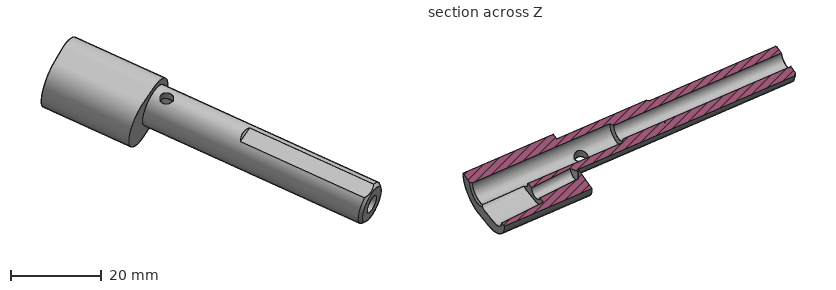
import cadquery as cq
import math

total_length = 78.0
head_length = 22.85
head_width = 17.7
head_height = 13.0
head_radius = head_height / 2
head_offset = head_width - head_height

shank_radius = 5.0
shank_chamfer = 0.7
flat_start = 45.5
flat_depth = 0.5
cross_hole_x = 26.2
cross_hole_diameter = 3.05

bore_radius = 3.0
bore_chamfer = 0.5
bore_depth = 35.1
through_radius = 2.1
drill_half_angle = 59.0

slant_drop = 0.7
slant_angle = math.degrees(math.atan(slant_drop / (head_offset + head_radius)))
pocket_radius = 3.0
pocket_inner = 3.5
pocket_outer = 7.0
pocket_depth = 10.9
blind_hole_radius = 1.6
blind_hole_centre = 6.9
blind_hole_depth = 10.15


def rod(radius, start, length):
    """Cylinder along X on the main axis."""
    return cq.Workplane("YZ", origin=(start, 0, 0)).circle(radius).extrude(length)


def make_head():
    outline = (
        cq.Workplane("YZ")
        .moveTo(0, head_radius)
        .threePointArc((head_radius, 0), (0, -head_radius))
        .lineTo(-head_offset, -head_radius)
        .threePointArc((-head_offset - head_radius, 0), (-head_offset, head_radius))
        .close()
    )
    far_edge = -head_offset - head_radius
    wedge = (
        cq.Workplane("XY")
        .polyline([(0, 0), (slant_drop, far_edge), (0, far_edge)])
        .close()
        .extrude(head_radius, both=True)
    )
    return outline.extrude(head_length).cut(wedge)


def make_shank():
    shank = rod(shank_radius, 0, total_length).faces(">X").chamfer(shank_chamfer)
    flat_height = shank_radius - flat_depth
    flat_cut = (
        cq.Workplane("XZ")
        .polyline([
            (flat_start, shank_radius),
            (flat_start + flat_depth, flat_height),
            (total_length, flat_height),
            (total_length, shank_radius),
        ])
        .close()
        .extrude(shank_radius, both=True)
    )
    for turn in (0, -90):
        shank = shank.cut(flat_cut.rotate((0, 0, 0), (1, 0, 0), turn))
    return shank


def make_bore():
    cone_length = (bore_radius - through_radius) / math.tan(math.radians(drill_half_angle))
    return (
        cq.Workplane("XY")
        .polyline([
            (0, 0),
            (0, bore_radius + bore_chamfer),
            (bore_chamfer, bore_radius),
            (bore_depth, bore_radius),
            (bore_depth + cone_length, through_radius),
            (total_length, through_radius),
            (total_length, 0),
        ])
        .close()
        .revolve(360, (0, 0, 0), (1, 0, 0))
    )


def make_pocket():
    """Slot and pointed blind hole, modelled square to X and then tilted."""
    slot = (
        cq.Workplane("YZ")
        .center(-(pocket_inner + pocket_outer) / 2, 0)
        .slot2D(pocket_outer - pocket_inner + 2 * pocket_radius, 2 * pocket_radius)
        .extrude(pocket_depth)
    )
    hole_end = pocket_depth + blind_hole_depth
    point_length = blind_hole_radius / math.tan(math.radians(drill_half_angle))
    hole = (
        cq.Workplane("XY")
        .polyline([
            (0, -blind_hole_centre),
            (0, -blind_hole_centre - blind_hole_radius),
            (hole_end, -blind_hole_centre - blind_hole_radius),
            (hole_end + point_length, -blind_hole_centre),
        ])
        .close()
        .revolve(360, (0, -blind_hole_centre, 0), (1, -blind_hole_centre, 0))
    )
    return slot.union(hole).rotate((0, 0, 0), (0, 0, 1), slant_angle)


cross_hole = (
    cq.Workplane("XY")
    .center(cross_hole_x, 0)
    .circle(cross_hole_diameter / 2)
    .extrude(shank_radius, both=True)
)

result = (
    make_head()
    .union(make_shank().cut(rod(shank_radius, 0, head_length / 2)))
    .cut(make_bore())
    .cut(make_pocket())
    .cut(cross_hole)
)